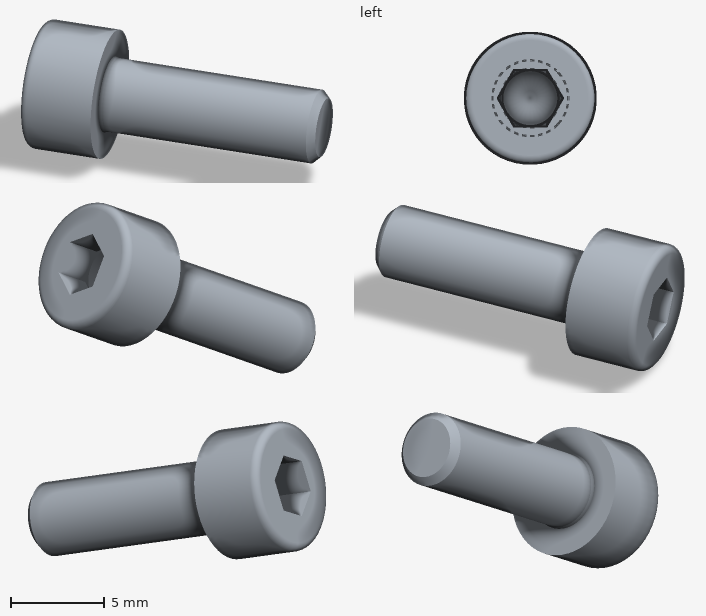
import cadquery as cq
import math

total_length = 16.0
head_height = 4.0
head_diameter = 7.0
head_edge_radius = 0.4
shank_diameter = 4.0
shank_length = total_length - head_height
tip_chamfer = 0.4
neck_length = 0.2
neck_flare = 0.06

socket_width = 3.0
socket_depth = 2.0
drill_point_angle = 120.0

head_face_x = -head_height
socket_floor_x = head_face_x + socket_depth


def make_head():
    head = cq.Workplane("YZ", origin=(head_face_x, 0, 0)).circle(head_diameter / 2).extrude(head_height)
    return head.faces("<X").edges().fillet(head_edge_radius)


def make_shank():
    shank = cq.Workplane("YZ").circle(shank_diameter / 2).extrude(shank_length)
    return shank.faces(">X").edges().chamfer(tip_chamfer)


def make_neck():
    """Shallow taper easing the shank into the underside of the head."""
    shank_radius = shank_diameter / 2
    return cq.Workplane(
        cq.Solid.makeCone(
            shank_radius + neck_flare,
            shank_radius,
            neck_length,
            pnt=cq.Vector(0, 0, 0),
            dir=cq.Vector(1, 0, 0),
        )
    )


def make_socket():
    """Hexagonal recess, corners toward +Y and -Y, ending in a drill point."""
    corner_diameter = socket_width / math.cos(math.radians(30))
    hexagon = (
        cq.Workplane("YZ", origin=(head_face_x, 0, 0))
        .polygon(6, corner_diameter)
        .extrude(socket_depth)
    )
    point_radius = socket_width / 2
    point_depth = point_radius / math.tan(math.radians(drill_point_angle / 2))
    drill_point = cq.Workplane(
        cq.Solid.makeCone(
            point_radius, 0, point_depth, pnt=cq.Vector(socket_floor_x, 0, 0), dir=cq.Vector(1, 0, 0)
        )
    )
    return hexagon.union(drill_point)


result = make_head().union(make_shank()).union(make_neck()).cut(make_socket())